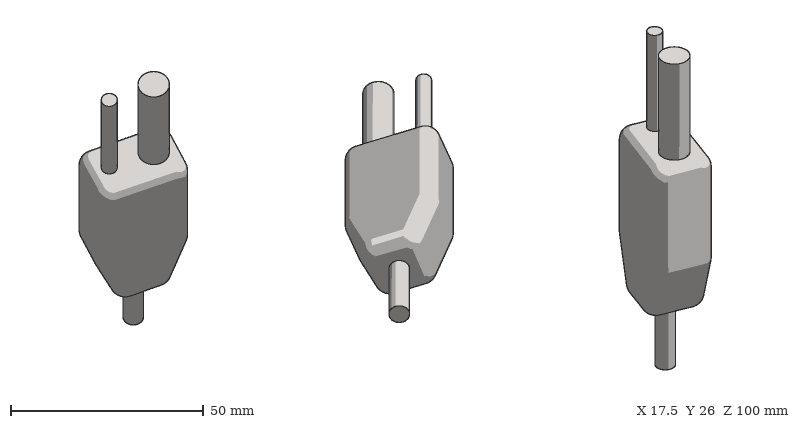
import cadquery as cq

body_width = 17.5
body_depth = 26.0
body_height = 50.0
taper_height = 17.0
tip_depth = 14.6
edge_radius = 4.0

lower_lead_diameter = 5.4
lower_lead_length = 20.0
upper_lead_length = 30.0
thick_lead_diameter = 8.2
thick_lead_y = 5.8
thin_lead_diameter = 4.2
thin_lead_y = -6.8


def make_body():
    """Extrude the YZ outline across X and round every edge; the bottom sits at Z = 0."""
    outline = [
        (-tip_depth / 2, 0),
        (tip_depth / 2, 0),
        (body_depth / 2, taper_height),
        (body_depth / 2, body_height),
        (-body_depth / 2, body_height),
        (-body_depth / 2, taper_height),
    ]
    block = cq.Workplane("YZ").polyline(outline).close().extrude(body_width / 2, both=True)
    return block.edges().fillet(edge_radius)


def make_lead(diameter, y, z, length):
    """Vertical round lead whose lower end is at height z."""
    return cq.Workplane("XY", origin=(0, y, z)).circle(diameter / 2).extrude(length)


result = (
    make_body()
    .union(make_lead(lower_lead_diameter, 0, -lower_lead_length, lower_lead_length))
    .union(make_lead(thick_lead_diameter, thick_lead_y, body_height, upper_lead_length))
    .union(make_lead(thin_lead_diameter, thin_lead_y, body_height, upper_lead_length))
)